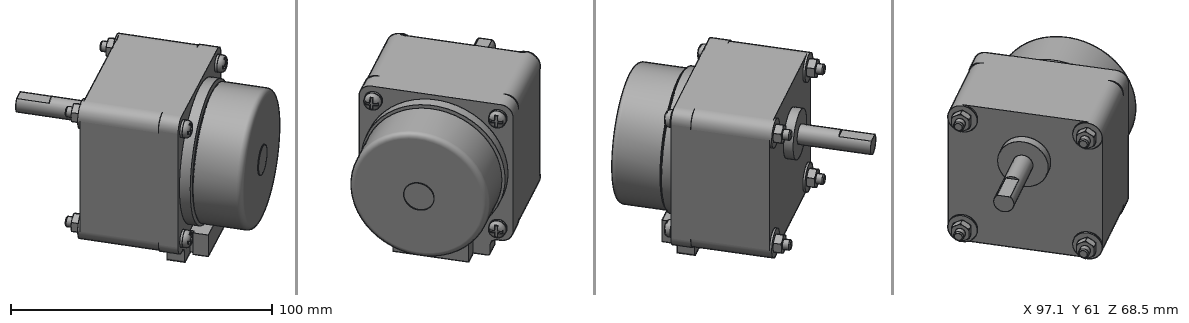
import cadquery as cq
import math

case_side = 61.0
case_length = 31.1
case_corner_radius = 5.8
pad_height = 0.9
boss_radius = 10.0
boss_length = 3.9

shaft_radius = 4.0
shaft_length = 32.9
shaft_offset_z = 10.0
flat_length = 12.9
flat_height = 3.0

plate_thickness = 7.9
plate_corner_radius = 4.9
lug_thickness = 7.0
lug_width = 42.9
lug_drop = 7.5
lug_root_radius = 2.8
lug_corner_radius = 1.2

connector_width = 30.1
connector_base_width = 27.2
connector_base_length = 1.6
connector_length = 7.7
connector_top_z = -27.7
connector_height = 9.7

disc_radius = 28.5
disc_length = 4.3
gap_length = 0.3
rim_radius = 26.4
rim_length = 0.6
cup_diameter = 55.0
cup_length = 19.6
cup_fillet = 2.1
hub_radius = 6.0
hub_length = 0.4

bolt_radius = 2.0
bolt_tip_length = 2.9
bolt_tip_chamfer = 0.5
nut_across_flats = 7.0
nut_height = 3.2
nut_chamfer_radius = 3.7
nut_chamfer_angle = 30
nut_sides = 6
washer_radius = 3.5
washer_thickness = 1.0
head_radius = 3.4
head_height = 2.7
head_fillet = 1.8
recess_length = 5.2
recess_width = 1.2
recess_depth = 0.8

bolt_offset = case_side / 2 - case_corner_radius
bolt_places = [(y * bolt_offset, z * bolt_offset) for y in (-1, 1) for z in (-1, 1)]
plate_back_x = case_length + plate_thickness
cup_start_x = plate_back_x + disc_length + gap_length
cup_end_x = cup_start_x + rim_length + cup_length
nut_front_x = -pad_height - nut_height
bolt_tip_x = nut_front_x - bolt_tip_length
head_seat_x = plate_back_x + washer_thickness
head_top_x = head_seat_x + head_height


def cylinder_x(radius, start_x, end_x, y=0, z=0):
    """Cylinder along X."""
    plane = cq.Workplane("YZ", origin=(start_x, y, z))
    return plane.circle(radius).extrude(end_x - start_x)


def block(start_x, end_x, width, bottom_z, top_z):
    """Box centred on Y = 0."""
    size = (end_x - start_x, width, top_z - bottom_z)
    return cq.Workplane().box(*size, centered=(False, True, False)).translate((start_x, 0, bottom_z))


def rounded_square(start_x, end_x, corner_radius):
    """Square section of the case, with rounded corners along X."""
    square = block(start_x, end_x, case_side, -case_side / 2, case_side / 2)
    return square.edges("|X").fillet(corner_radius)


def make_gear_case():
    case = rounded_square(0, case_length, case_corner_radius)
    for y, z in bolt_places:
        case = case.union(cylinder_x(case_corner_radius, -pad_height, 0, y, z))
    return case.union(cylinder_x(boss_radius, -boss_length, 0, 0, shaft_offset_z))


def make_shaft():
    shaft = cylinder_x(shaft_radius, -shaft_length, 0, 0, shaft_offset_z)
    above_flat = block(
        -shaft_length,
        flat_length - shaft_length,
        2 * shaft_radius,
        shaft_offset_z + flat_height,
        shaft_offset_z + shaft_radius,
    )
    return shaft.cut(above_flat)


def make_lug():
    """Lug reaching down from the plate, with hollow root roundings and rounded lower corners."""
    half = lug_width / 2
    root_z = -case_side / 2
    bottom_z = root_z - lug_drop
    root_side = half + lug_root_radius
    outline = (
        cq.Workplane("YZ", origin=(plate_back_x - lug_thickness, 0, 0))
        .moveTo(-root_side, root_z)
        .radiusArc((-half, root_z - lug_root_radius), lug_root_radius)
        .lineTo(-half, bottom_z)
        .lineTo(half, bottom_z)
        .lineTo(half, root_z - lug_root_radius)
        .radiusArc((root_side, root_z), lug_root_radius)
        .lineTo(root_side, root_z + lug_root_radius)
        .lineTo(-root_side, root_z + lug_root_radius)
        .close()
    )
    lug = outline.extrude(lug_thickness)
    return lug.edges("|X").edges("<Z").fillet(lug_corner_radius)


def make_connector():
    base_end_x = plate_back_x + connector_base_length
    bottom_z = connector_top_z - connector_height
    base = block(plate_back_x, base_end_x, connector_base_width, bottom_z, connector_top_z)
    body = block(base_end_x, plate_back_x + connector_length, connector_width, bottom_z, connector_top_z)
    return base.union(body)


def make_motor():
    disc = cylinder_x(disc_radius, plate_back_x, plate_back_x + disc_length)
    neck = cylinder_x(hub_radius, plate_back_x + disc_length, cup_start_x)
    rim = cylinder_x(rim_radius, cup_start_x, cup_start_x + rim_length)
    cup = cylinder_x(cup_diameter / 2, cup_start_x + rim_length, cup_end_x)
    cup = cup.faces(">X").edges().fillet(cup_fillet)
    hub = cylinder_x(hub_radius, cup_end_x, cup_end_x + hub_length)
    return disc.union(neck).union(rim).union(cup).union(hub)


def make_gear_motor():
    plate = rounded_square(case_length, plate_back_x, plate_corner_radius).union(make_lug())
    gear_motor = make_gear_case().union(make_shaft()).union(plate)
    gear_motor = gear_motor.union(make_motor()).union(make_connector())
    for y, z in bolt_places:
        gear_motor = gear_motor.cut(cylinder_x(bolt_radius, -pad_height, plate_back_x, y, z))
    return gear_motor


def make_nut():
    """Hexagon nut with its points up and down and both ends bevelled."""
    across_points = nut_across_flats / math.cos(math.pi / nut_sides)
    hexagon = cq.Workplane("YZ", origin=(nut_front_x, 0, 0)).transformed(rotate=(0, 0, 90))
    nut = hexagon.polygon(nut_sides, across_points).extrude(nut_height)
    bevel_width = across_points / 2 - nut_chamfer_radius
    bevel_height = bevel_width * math.tan(math.radians(nut_chamfer_angle))
    envelope = cylinder_x(across_points / 2, nut_front_x, -pad_height)
    return nut.intersect(envelope.edges("%CIRCLE").chamfer(bevel_height, bevel_width))


def make_bolt_head():
    """Rounded head with a cross recess."""
    head = cylinder_x(head_radius, head_seat_x, head_top_x).faces(">X").edges().fillet(head_fillet)
    recess = cq.Workplane("YZ", origin=(head_top_x - recess_depth, 0, 0))
    cross = recess.rect(recess_length, recess_width).extrude(recess_depth)
    cross = cross.union(recess.rect(recess_width, recess_length).extrude(recess_depth))
    return head.cut(cross)


def make_bolt():
    """Through bolt with its nut, washer and head, centred on the X axis."""
    shank = cylinder_x(bolt_radius, bolt_tip_x, head_seat_x).faces("<X").chamfer(bolt_tip_chamfer)
    washer = cylinder_x(washer_radius, plate_back_x, head_seat_x)
    return shank.union(make_nut()).union(washer).union(make_bolt_head())


gear_motor = make_gear_motor()
bolts = [make_bolt().translate((0, y, z)) for y, z in bolt_places]

result = cq.Compound.makeCompound([gear_motor.val(), *[bolt.val() for bolt in bolts]])